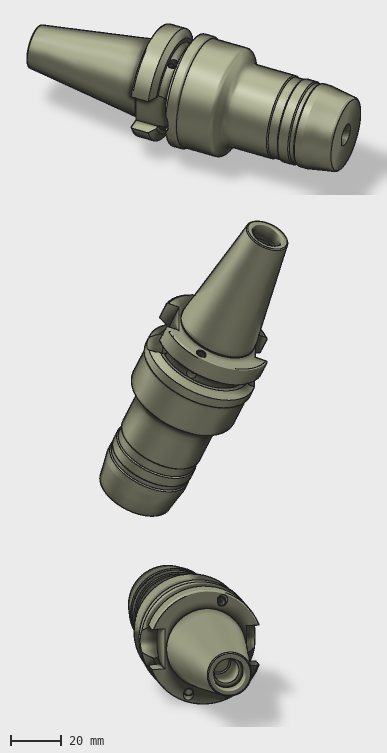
import cadquery as cq
import math


gauge_radius = 31.75 / 2
shank_length = 48.4
taper_slope = 7 / 24 / 2
shank_end_chamfer = 0.4
gauge_land_end = 1.3
relief_start = 1.6
relief_radius = 31.2 / 2

flange_radius = 46 / 2
flange_start = 2.0
flange_end = 22.0
flange_front_round = 0.7
groove_start = 11.5
groove_end = 15.6
groove_floor_radius = 36 / 2
flank_height = 3.4
flank_angle = 60

body_radius = 44.5 / 2
flange_back_round = flange_radius - body_radius
body_end = 35.7
shoulder_angle = 60
shoulder_outer_round = 2.0
shoulder_inner_round = 3.0

neck_radius = 34 / 2
band_radius = 33 / 2
band_side = 0.5
bands = [(58.4, 63.3), (67.5, 70.3)]
nose_start = 73.5
nose_end = 85.0
nose_angle = 9.5
nose_edge_round = 1.0
nose_edge_depth = 0.7

mouth_radius = 14 / 2
pilot_radius = 12.5 / 2
thread_core_radius = 10.11 / 2
through_radius = 8.92 / 2
undercut_radius = 13.1 / 2
undercut_start = 4.8
undercut_end = 5.8
pilot_depth = 7.0
thread_depth = 24.0

slot_half_width = 16.1 / 2
slot_floor = 16.3
slot_end = 18.8

coolant_tilt = 20
plug_radius = 4 / 2
drill_radius = 3.24 / 2
inlet_radial_position = 19.9
inlet_slope = 30
inlet_depth = 1.6
plug_hole_position = 13.5
plug_hole_depth = 5.3


def tan_deg(angle):
    return math.tan(math.radians(angle))


def sin_deg(angle):
    return math.sin(math.radians(angle))


def cos_deg(angle):
    return math.cos(math.radians(angle))


def add_shank(path):
    end_radius = gauge_radius - shank_length * taper_slope
    chamfer_radius = end_radius + shank_end_chamfer * taper_slope
    path = path.lineTo(-shank_length, end_radius - shank_end_chamfer)
    path = path.lineTo(-shank_length + shank_end_chamfer, chamfer_radius)
    path = path.lineTo(0, gauge_radius).lineTo(gauge_land_end, gauge_radius)
    return path.lineTo(relief_start, relief_radius).lineTo(flange_start, relief_radius)


def add_flange(path):
    flank_length = flank_height / tan_deg(flank_angle)
    flank_foot = flange_radius - flank_height
    path = path.lineTo(flange_start, flange_radius - flange_front_round)
    path = path.radiusArc((flange_start + flange_front_round, flange_radius), flange_front_round)
    path = path.lineTo(groove_start - flank_length, flange_radius)
    path = path.lineTo(groove_start, flank_foot).lineTo(groove_start, groove_floor_radius)
    path = path.lineTo(groove_end, groove_floor_radius).lineTo(groove_end, flank_foot)
    path = path.lineTo(groove_end + flank_length, flange_radius)
    path = path.lineTo(flange_end - flange_back_round, flange_radius)
    return path.radiusArc((flange_end, body_radius), flange_back_round)


def add_shoulder(path):
    """Convex round, cone and concave round, all tangent."""
    outer, inner = shoulder_outer_round, shoulder_inner_round
    drop_share = 1 - cos_deg(shoulder_angle)
    cone_start = (body_end + outer * sin_deg(shoulder_angle), body_radius - outer * drop_share)
    cone_foot_radius = neck_radius + inner * drop_share
    cone_length = (cone_start[1] - cone_foot_radius) / tan_deg(shoulder_angle)
    cone_foot = (cone_start[0] + cone_length, cone_foot_radius)
    neck_start = (cone_foot[0] + inner * sin_deg(shoulder_angle), neck_radius)
    path = path.lineTo(body_end, body_radius)
    path = path.tangentArcPoint(cone_start, relative=False).lineTo(*cone_foot)
    return path.tangentArcPoint(neck_start, relative=False)


def add_neck(path):
    for start, end in bands:
        path = path.lineTo(start, neck_radius).lineTo(start + band_side, band_radius)
        path = path.lineTo(end - band_side, band_radius).lineTo(end, neck_radius)
    nose_edge_start = nose_end - nose_edge_round
    tip_radius = neck_radius - (nose_edge_start - nose_start) * tan_deg(nose_angle)
    path = path.lineTo(nose_start, neck_radius).lineTo(nose_edge_start, tip_radius)
    return path.radiusArc((nose_end, tip_radius - nose_edge_depth), nose_edge_round)


def add_bore(path):
    """Return along the bore from the nose to the shank end."""
    thread_end = thread_depth + thread_core_radius - through_radius
    mouth_round = mouth_radius - pilot_radius
    steps = [
        (thread_end, through_radius),
        (thread_depth, thread_core_radius),
        (pilot_depth, thread_core_radius),
        (pilot_depth, undercut_radius),
        (undercut_end, undercut_radius),
        (undercut_start, pilot_radius),
        (mouth_round, pilot_radius),
    ]
    path = path.lineTo(nose_end, through_radius)
    for depth, radius in steps:
        path = path.lineTo(depth - shank_length, radius)
    return path.radiusArc((-shank_length, mouth_radius), mouth_round)


def turned_body():
    path = cq.Workplane("XY").moveTo(-shank_length, mouth_radius)
    for add_section in (add_shank, add_flange, add_shoulder, add_neck, add_bore):
        path = add_section(path)
    return path.close().revolve(360, (0, 0, 0), (1, 0, 0))


def driving_slot():
    """Slot on the -Y side, open to the shank and round at its inner end."""
    slot_depth = flange_radius - slot_floor
    round_center = slot_end - slot_half_width
    return (
        cq.Workplane("XZ", origin=(0, -slot_floor, 0))
        .moveTo(flange_start, -slot_half_width)
        .lineTo(round_center, -slot_half_width)
        .threePointArc((slot_end, 0), (round_center, slot_half_width))
        .lineTo(flange_start, slot_half_width)
        .close()
        .extrude(slot_depth)
    )


def coolant_passage():
    """Stepped inclined drilling into the bore and the plug hole that meets it, above the axis."""
    inward = cq.Vector(cos_deg(inlet_slope), 0, -sin_deg(inlet_slope))
    mouth = cq.Vector(flange_start, 0, inlet_radial_position)
    lead_in = 2 * plug_radius
    outside = mouth - inward * lead_in
    drill_length = inlet_radial_position / sin_deg(inlet_slope)
    inlet = cq.Solid.makeCylinder(plug_radius, lead_in + inlet_depth, outside, inward)
    drilling = cq.Solid.makeCylinder(drill_radius, drill_length, mouth, inward)
    plug_floor = cq.Vector(plug_hole_position, 0, groove_floor_radius - plug_hole_depth)
    plug_hole = cq.Solid.makeCylinder(plug_radius, flange_radius - plug_floor.z, plug_floor)
    passage = cq.Workplane(inlet).union(cq.Workplane(drilling)).union(cq.Workplane(plug_hole))
    return passage.rotate((0, 0, 0), (1, 0, 0), coolant_tilt)


result = turned_body()
for turn in (0, 180):
    for cutter in (driving_slot(), coolant_passage()):
        result = result.cut(cutter.rotate((0, 0, 0), (1, 0, 0), turn))